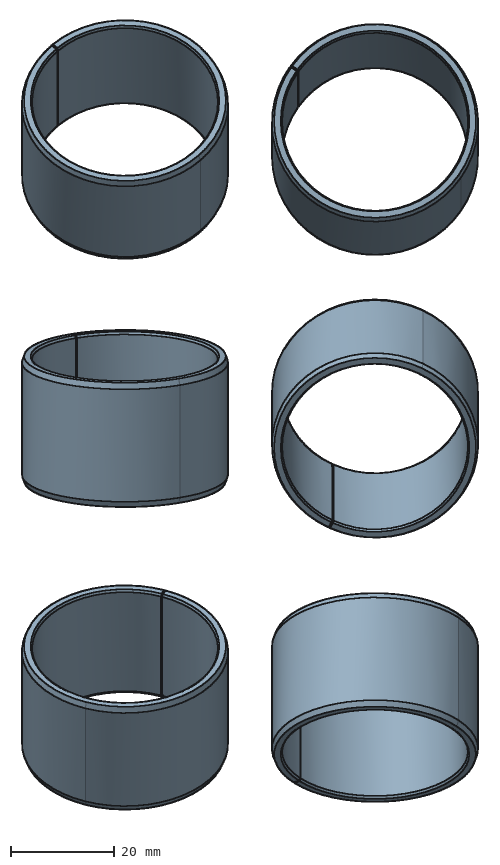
import cadquery as cq
import math

outer_diameter = 40.0
wall = 2.0
length = 25.0

chamfer_length = 1.2
chamfer_angle = 20.0

bevel_length = 0.5
bevel_angle = 30.0

split_angle = 1.0

outer_radius = outer_diameter / 2
inner_radius = outer_radius - wall
chamfer_depth = chamfer_length * math.tan(math.radians(chamfer_angle))
bevel_depth = bevel_length * math.tan(math.radians(bevel_angle))
face_outer_radius = outer_radius - chamfer_depth
face_inner_radius = inner_radius + bevel_depth


def bushing_ring():
    """Revolve the chamfered wall section about the Z axis."""
    section = (
        cq.Workplane("XZ")
        .moveTo(face_inner_radius, 0)
        .lineTo(face_outer_radius, 0)
        .lineTo(outer_radius, chamfer_length)
        .lineTo(outer_radius, length - chamfer_length)
        .lineTo(face_outer_radius, length)
        .lineTo(face_inner_radius, length)
        .lineTo(inner_radius, length - bevel_length)
        .lineTo(inner_radius, bevel_length)
        .close()
    )
    return section.revolve(360, (0, 0, 0), (0, 1, 0))


def split_cutter():
    """Full-length wedge from the axis out past the -X side of the wall."""
    reach = outer_diameter
    opening = reach * math.tan(math.radians(split_angle))
    return (
        cq.Workplane("XY")
        .polyline([(0, 0), (-reach, 0), (-reach, opening)])
        .close()
        .extrude(length)
    )


result = bushing_ring().cut(split_cutter())